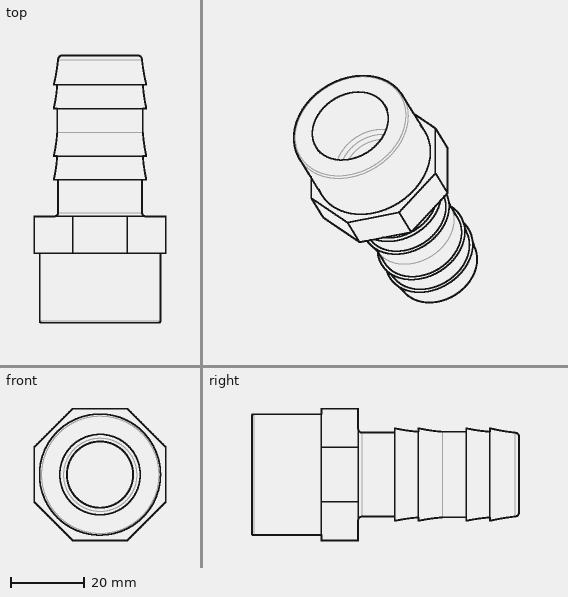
import cadquery as cq
import math

TOTAL_LENGTH = 73.0

COLLAR_DIAMETER = 33.1
COLLAR_LENGTH = 19.0
COLLAR_FILLET = 0.5

GRIP_ACROSS_FLATS = 36.0
GRIP_LENGTH = 10.1
GRIP_SIDES = 8

NECK_DIAMETER = 23.0
NECK_FILLET = 1.0
BARB_ROOT_DIAMETER = 23.4
BARB_CREST_DIAMETER = 25.3
BARB_PITCH = 6.5
FIRST_CREST = 39.0
FLARE_SAG = 0.11
TIP_FILLET = 1.25

SOCKET_BORE = 22.0
HOSE_BORE = 18.0
BORE_BLEND_RADIUS = 1.0
SOCKET_DEPTH = COLLAR_LENGTH

neck_radius = NECK_DIAMETER / 2
root_radius = BARB_ROOT_DIAMETER / 2
crest_radius = BARB_CREST_DIAMETER / 2
grip_end = COLLAR_LENGTH + GRIP_LENGTH


def revolve_about_y(profile):
    """Close a half profile and spin it a full turn about the Y axis."""
    return profile.close().revolve(360, (0, 0, 0), (0, 1, 0))


def flare_midpoint(crest_y, tip_y, tip_radius):
    """Halfway point of the shallow concave arc between the crest and the tip end of a barb."""
    length = tip_y - crest_y
    rise = crest_radius - tip_radius
    chord = math.hypot(length, rise)
    return (
        (crest_radius + tip_radius) / 2 - FLARE_SAG * length / chord,
        (crest_y + tip_y) / 2 - FLARE_SAG * rise / chord,
    )


def add_barb(profile, crest_y, tip_y, tip_radius):
    """Step out to the crest, then sweep in along the concave flare to the tip end."""
    return profile.lineTo(crest_radius, crest_y).threePointArc(
        flare_midpoint(crest_y, tip_y, tip_radius), (tip_radius, tip_y)
    )


def make_collar():
    collar = cq.Workplane("XZ").circle(COLLAR_DIAMETER / 2).extrude(-COLLAR_LENGTH)
    return collar.faces("<Y").edges().fillet(COLLAR_FILLET)


def make_grip():
    corner_diameter = GRIP_ACROSS_FLATS / math.cos(math.pi / GRIP_SIDES)
    return (
        cq.Workplane("XZ", origin=(0, COLLAR_LENGTH, 0))
        .transformed(rotate=(0, 0, 180 / GRIP_SIDES))
        .polygon(GRIP_SIDES, corner_diameter)
        .extrude(-GRIP_LENGTH)
    )


def make_hose_tail():
    diagonal = 1 - math.sqrt(0.5)
    fillet_top = grip_end + NECK_FILLET
    second_crest = FIRST_CREST + BARB_PITCH
    gap_start = second_crest + BARB_PITCH
    third_crest = gap_start + BARB_PITCH
    last_crest = third_crest + BARB_PITCH
    tip_start = TOTAL_LENGTH - TIP_FILLET
    profile = (
        cq.Workplane("XY")
        .moveTo(0, grip_end)
        .lineTo(neck_radius + NECK_FILLET, grip_end)
        .threePointArc(
            (neck_radius + NECK_FILLET * diagonal, grip_end + NECK_FILLET * diagonal),
            (neck_radius, fillet_top),
        )
        .lineTo(neck_radius, FIRST_CREST)
    )
    for crest_y in (FIRST_CREST, second_crest):
        profile = add_barb(profile, crest_y, crest_y + BARB_PITCH, root_radius)
    profile = profile.lineTo(root_radius, third_crest)
    profile = add_barb(profile, third_crest, last_crest, root_radius)
    profile = add_barb(profile, last_crest, tip_start, neck_radius)
    profile = profile.threePointArc(
        (neck_radius - TIP_FILLET * diagonal, TOTAL_LENGTH - TIP_FILLET * diagonal),
        (neck_radius - TIP_FILLET, TOTAL_LENGTH),
    ).lineTo(0, TOTAL_LENGTH)
    return revolve_about_y(profile)


def make_bore():
    """Through bore whose socket part narrows to the hose part along an S-shaped blend."""
    socket_radius = SOCKET_BORE / 2
    hose_radius = HOSE_BORE / 2
    half_step = (socket_radius - hose_radius) / 2
    sweep = math.acos(1 - half_step / BORE_BLEND_RADIUS)
    half_blend = BORE_BLEND_RADIUS * math.sin(sweep)
    quarter_in = BORE_BLEND_RADIUS * (1 - math.cos(sweep / 2))
    quarter_along = BORE_BLEND_RADIUS * math.sin(sweep / 2)
    blend_end = SOCKET_DEPTH + 2 * half_blend
    profile = (
        cq.Workplane("XY")
        .lineTo(socket_radius, 0)
        .lineTo(socket_radius, SOCKET_DEPTH)
        .threePointArc(
            (socket_radius - quarter_in, SOCKET_DEPTH + quarter_along),
            (socket_radius - half_step, SOCKET_DEPTH + half_blend),
        )
        .threePointArc(
            (hose_radius + quarter_in, blend_end - quarter_along),
            (hose_radius, blend_end),
        )
        .lineTo(hose_radius, TOTAL_LENGTH)
        .lineTo(0, TOTAL_LENGTH)
    )
    return revolve_about_y(profile)


result = make_collar().union(make_grip()).union(make_hose_tail()).cut(make_bore())